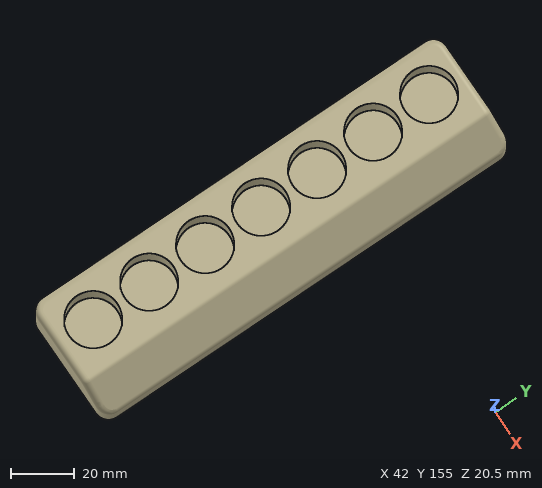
import cadquery as cq
import math

width = 42.0
length = 155.0
height = 20.5
corner_radius = 5.0
top_edge_radius = 2.5

slope_start_x = 30.0
slope_angle = 40.0
slope_drop = (width - slope_start_x) * math.tan(math.radians(slope_angle))

hole_count = 7
hole_diameter = 18.3
hole_depth = 12.5
hole_pitch = 21.2
hole_center_x = 15.0
hole_row_shift = 0.3


def sloped_block():
    """Bar running along Y with its front left corner at the origin."""
    profile = (
        cq.Workplane("XZ")
        .moveTo(0, 0)
        .lineTo(width, 0)
        .lineTo(width, height - slope_drop)
        .lineTo(slope_start_x, height)
        .lineTo(0, height)
        .close()
    )
    return profile.extrude(-length)


def round_edges(block):
    """Round the four upright corners, then every edge above the flat side walls."""
    rounded = block.edges("|Z").fillet(corner_radius)
    upper_edges = rounded.edges("not (|Z or <Z)")
    return upper_edges.fillet(top_edge_radius)


def hole_row():
    """Cutters for the holes, spread along the length of the bar."""
    return (
        cq.Workplane("XY", origin=(hole_center_x, length / 2 + hole_row_shift, height - hole_depth))
        .rarray(1.5, hole_pitch, 1, hole_count)
        .circle(hole_diameter / 2)
        .extrude(hole_depth)
    )


result = round_edges(sloped_block()).cut(hole_row())